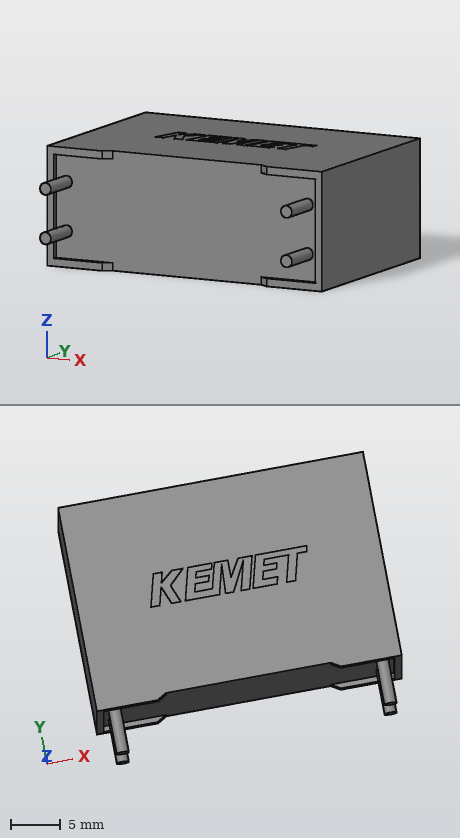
import cadquery as cq

length = 31.3
total_depth = 25.3
height = 12.3
pin_projection = 4.0
housing_depth = total_depth - pin_projection
front_y = -housing_depth / 2
top_z = height / 2

recess_depth = 0.55
end_wall = 0.72
side_wall = 0.8
gap_width_outer = 18.78
gap_width_inner = 16.9
floor_y = front_y + recess_depth

pin_diameter = 1.25
pin_spacing_x = 27.48
pin_spacing_z = 5.07

inlay_depth = 0.15
inlay_left = -8.33
inlay_bottom = -1.13
slant = 0.26
cap = 3.32
bar_1 = 0.72
bar_2 = 1.53
bar_3 = 2.13
bar_4 = 2.72
apex = 3.0

letter_k = [
    (0, 0), (0, cap), (0.9, cap), (0.9, 2.25), (1.9, cap), (3.05, cap),
    (1.88, 1.8), (3.07, 0), (2.13, 0), (0.9, 1.85), (0.9, 0),
]
letters_em = [
    (3.55, 0), (3.55, cap), (6.0, cap), (6.0, bar_4), (4.45, bar_4), (4.45, bar_3),
    (5.82, bar_3), (5.82, bar_2), (4.45, bar_2), (4.45, bar_1), (6.25, bar_1),
    (6.25, cap), (7.65, cap), (8.1, bar_2), (8.7, cap), (10.15, cap), (10.15, 0),
    (9.25, 0), (9.25, apex), (8.48, 0), (7.67, 0), (7.05, apex), (7.05, 0),
]
letters_et = [
    (10.5, 0), (10.5, cap), (15.78, cap), (15.78, bar_4), (14.85, bar_4), (14.85, 0),
    (13.93, 0), (13.93, bar_4), (11.42, bar_4), (11.42, bar_3), (12.77, bar_3),
    (12.77, bar_2), (11.42, bar_2), (11.42, bar_1), (12.95, bar_1), (12.95, 0),
]


def make_shell():
    """Block with a shallow front recess and a tapered gap through both long walls."""
    block = cq.Workplane("XY").box(length, housing_depth, height)
    recess = (
        cq.Workplane("XY")
        .box(length - 2 * end_wall, recess_depth, height - 2 * side_wall)
        .translate((0, front_y + recess_depth / 2, 0))
    )
    gap = (
        cq.Workplane("XY")
        .polyline([
            (-gap_width_outer / 2, front_y),
            (gap_width_outer / 2, front_y),
            (gap_width_inner / 2, floor_y),
            (-gap_width_inner / 2, floor_y),
        ])
        .close()
        .extrude(top_z, both=True)
    )
    return block.cut(recess).cut(gap)


def make_pins():
    """Four round pins standing on the recess floor."""
    return (
        cq.Workplane("XZ", origin=(0, floor_y, 0))
        .rarray(pin_spacing_x, pin_spacing_z, 2, 2)
        .circle(pin_diameter / 2)
        .extrude(recess_depth + pin_projection)
    )


def make_inlay(outline):
    """Slanted letter plate lying flush with the top face."""
    slanted = [(x + slant * y, y) for x, y in outline]
    return (
        cq.Workplane("XY", origin=(inlay_left, inlay_bottom, top_z - inlay_depth))
        .polyline(slanted)
        .close()
        .extrude(inlay_depth)
    )


inlays = [make_inlay(outline) for outline in (letter_k, letters_em, letters_et)]

housing = make_shell().union(make_pins())
for inlay in inlays:
    housing = housing.cut(inlay)

result = cq.Compound.makeCompound([housing.solids().val()] + [inlay.val() for inlay in inlays])